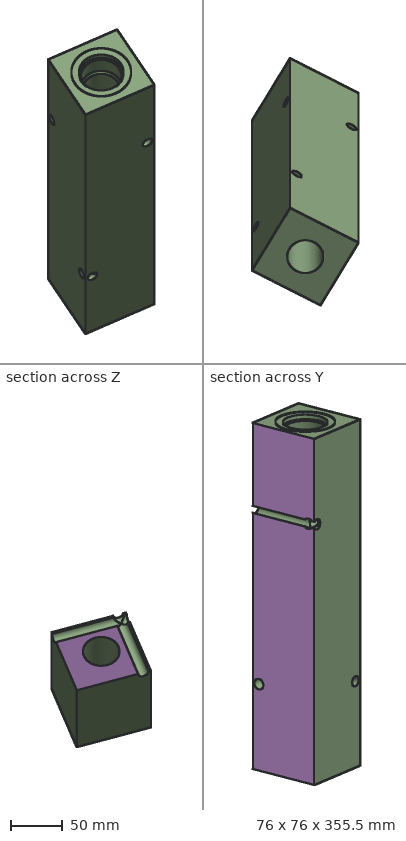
import cadquery as cq

length = 355.5
width = 76.0
edge_chamfer = 0.2

bore_diameter = 35.0
port_diameter = 39.0
port_depth = 23.5
mouth_diameter = 43.5
mouth_floor_diameter = 42.0
mouth_depth = 4.3
recess_diameter = 58.0
recess_depth = 0.7

cross_hole_diameter = 10.3
cross_hole_offset = 30.2
cross_hole_spacing = length / 2


def make_block():
    return cq.Workplane("XY").box(width, width, length).edges().chamfer(edge_chamfer)


def make_bore():
    """Revolved profile of the through bore, the port with 45-degree transitions, and the recess."""
    top = length / 2
    recess_floor = top - recess_depth
    mouth_floor = recess_floor - mouth_depth
    chamfer_floor = mouth_floor - (mouth_floor_diameter - port_diameter) / 2
    port_floor = recess_floor - port_depth
    port_step = (port_diameter - bore_diameter) / 2
    profile = [
        (0, -top),
        (bore_diameter / 2, -top),
        (bore_diameter / 2, port_floor - port_step),
        (port_diameter / 2, port_floor),
        (port_diameter / 2, chamfer_floor),
        (mouth_floor_diameter / 2, mouth_floor),
        (mouth_diameter / 2, recess_floor),
        (recess_diameter / 2, recess_floor),
        (recess_diameter / 2, top),
        (0, top),
    ]
    return cq.Workplane("XZ").polyline(profile).close().revolve(360, (0, 0), (0, 1))


def make_cross_holes(plane, upper_offset):
    """Two through holes normal to the plane, on opposite sides of the bore."""
    upper = (upper_offset, cross_hole_spacing / 2)
    lower = (-upper_offset, -cross_hole_spacing / 2)
    holes = cq.Workplane(plane).pushPoints([upper, lower]).circle(cross_hole_diameter / 2)
    return holes.extrude(width / 2, both=True)


result = (
    make_block()
    .cut(make_bore())
    .cut(make_cross_holes("XZ", -cross_hole_offset))
    .cut(make_cross_holes("YZ", cross_hole_offset))
)